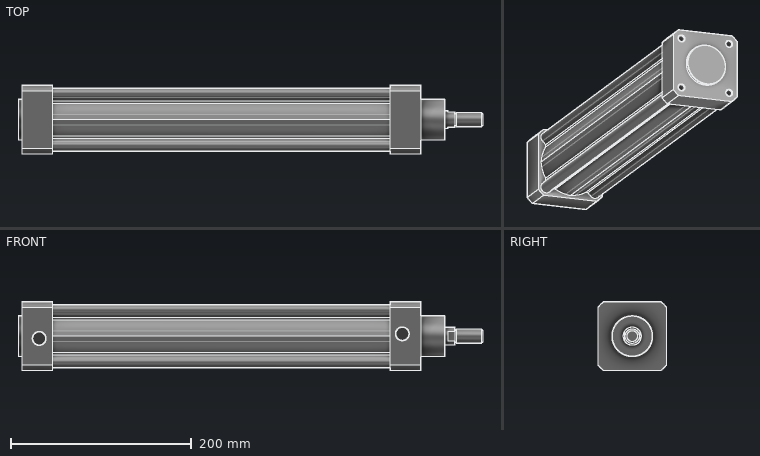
import cadquery as cq
import math


total_length = 514.0
rear_boss_length = 4.0
cover_length = 34.0
barrel_length = 373.0
front_boss_length = 26.5
collar_length = 3.0
flats_length = 7.5
rear_cover_start = rear_boss_length
barrel_start = rear_cover_start + cover_length
front_cover_start = barrel_start + barrel_length
front_cover_end = front_cover_start + cover_length
rod_start = front_cover_end + front_boss_length

mouth_angle = 90.0
cover_width = 76.0
cover_corner_diameter = 99.0
boss_diameter = 45.0
boss_chamfer = 0.5
screw_offset = 28.5
screw_hole_diameter = 6.5
screw_mouth_diameter = 8.0
screw_hole_depth = 25.5

port_diameter = 14.5
port_mouth_diameter = 15.5
port_depth = 25.5
port_raise = 2.5
rear_port_x = 23.0
front_port_x = 424.5

barrel_radius = 34.5
lobe_radius = 6.0
lobe_offset = 29.0
ridge_half_width = 5.5
ridge_top = 35.0
neck_edge = 18.0

collar_diameter = 20.0
across_flats = 17.0
thread_diameter = 16.0
thread_chamfer = 2.0


def cylinder_x(start, length, diameter):
    """Round bar along the X axis."""
    return cq.Workplane("YZ", origin=(start, 0, 0)).circle(diameter / 2).extrude(length)


def make_cover(start, port_x, port_z):
    """Square end cover with turned corners and a blind countersunk port on its -Y side."""
    block = (
        cq.Workplane("YZ", origin=(start, 0, 0))
        .rect(cover_width, cover_width)
        .extrude(cover_length)
    )
    cover = block.intersect(cylinder_x(start, cover_length, cover_corner_diameter))
    port_plane = cover.faces("<Y").workplane(origin=(port_x, 0, port_z))
    return port_plane.cskHole(port_diameter, port_mouth_diameter, mouth_angle, port_depth)


def make_rear_cover():
    """Rear cover with a low centring boss and four blind countersunk screw holes."""
    cover = make_cover(rear_cover_start, rear_port_x, -port_raise)
    cover = (
        cover.faces("<X")
        .workplane(origin=(0, 0, 0))
        .rect(2 * screw_offset, 2 * screw_offset, forConstruction=True)
        .vertices()
        .cskHole(screw_hole_diameter, screw_mouth_diameter, mouth_angle, screw_hole_depth)
    )
    boss = cylinder_x(0, rear_boss_length, boss_diameter).faces("<X").chamfer(boss_chamfer)
    return cover.union(boss)


def make_front_cover():
    """Front cover with the long boss that the rod comes out of."""
    cover = make_cover(front_cover_start, front_port_x, port_raise)
    boss = cylinder_x(front_cover_end, front_boss_length, boss_diameter).faces(">X").chamfer(boss_chamfer)
    return cover.union(boss)


def quarter_turns(points, turns):
    """Turn (y, z) points about the X axis by a number of quarter turns."""
    for _ in range(turns):
        points = [(-z, y) for y, z in points]
    return points


def make_barrel():
    """Round barrel with a corner lobe on each diagonal and a low ridge on each side."""
    ridge_foot = math.sqrt(barrel_radius**2 - ridge_half_width**2)
    arc_end = math.sqrt(barrel_radius**2 - neck_edge**2)
    arc_middle_angle = (
        math.asin(ridge_half_width / barrel_radius) + math.asin(neck_edge / barrel_radius)
    ) / 2
    arc_middle = (
        barrel_radius * math.cos(arc_middle_angle),
        barrel_radius * math.sin(arc_middle_angle),
    )
    neck_corner = arc_end - lobe_radius * math.sqrt(2)
    tangent_shift = lobe_radius / math.sqrt(2)
    lobe_out = lobe_offset + tangent_shift
    lobe_in = lobe_offset - tangent_shift

    profile = cq.Workplane("YZ", origin=(barrel_start, 0, 0)).moveTo(ridge_foot, -ridge_half_width)
    for turns in range(4):
        p = quarter_turns(
            [
                (ridge_top, 0),
                (ridge_foot, ridge_half_width),
                arc_middle,
                (arc_end, neck_edge),
                (arc_end, neck_corner),
                (lobe_out, lobe_in),
                (lobe_out, lobe_out),
                (lobe_in, lobe_out),
                (neck_corner, arc_end),
                (neck_edge, arc_end),
                arc_middle[::-1],
                (ridge_half_width, ridge_foot),
            ],
            turns,
        )
        profile = profile.lineTo(*p[0]).lineTo(*p[1]).threePointArc(p[2], p[3])
        profile = profile.lineTo(*p[4]).lineTo(*p[5]).threePointArc(p[6], p[7])
        profile = profile.lineTo(*p[8]).lineTo(*p[9]).threePointArc(p[10], p[11])
    return profile.close().extrude(barrel_length)


def make_rod():
    """Rod end: collar with two wrench flats and a thread chamfered at both ends."""
    flats_start = rod_start + collar_length
    thread_start = flats_start + flats_length
    collar = cylinder_x(rod_start, collar_length, collar_diameter)
    flats_block = (
        cq.Workplane("YZ", origin=(flats_start, 0, 0))
        .rect(across_flats, collar_diameter)
        .extrude(flats_length)
    )
    flats = cylinder_x(flats_start, flats_length, collar_diameter).intersect(flats_block)
    thread = cylinder_x(thread_start, total_length - thread_start, thread_diameter)
    thread = thread.faces("<X or >X").chamfer(thread_chamfer)
    return collar.union(flats).union(thread)


rear_cover = make_rear_cover()
barrel = make_barrel()
front_cover = make_front_cover()
rod = make_rod()

result = cq.Compound.makeCompound([rear_cover.val(), barrel.val(), front_cover.val(), rod.val()])